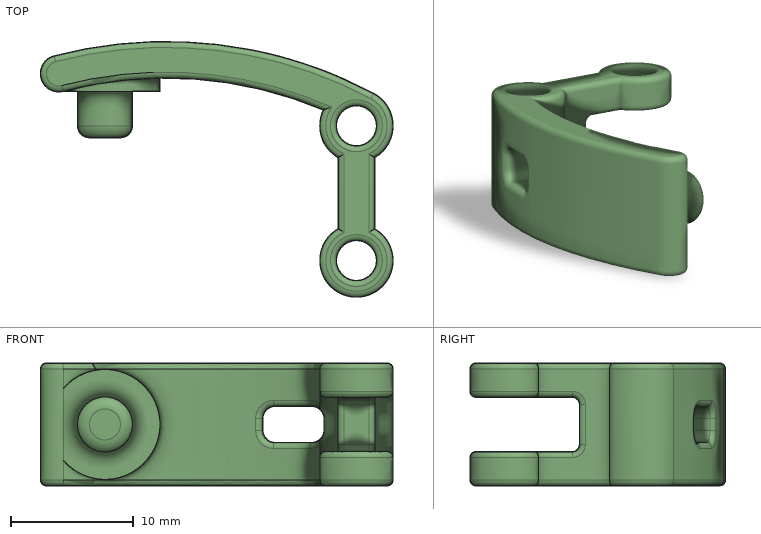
import cadquery as cq
import math

height = 10.0
edge_round = 0.5
overlap = 0.3
tolerance = 0.003

eye_radius = 3.0
bore_diameter = 3.25
eye_spacing = 11.0
ear_thickness = 2.8

link_width = 3.0
notch_start = 5.05
notch_corner = 0.58

arm_thickness = 3.0
arm_outer_radius = 35.95
arm_center_x = -15.55
tip_x = -24.28

slot_left = -7.62
slot_right = -2.65
slot_height = 2.93
slot_corner = 0.98

pin_x = -20.5
pin_diameter = 4.5
pin_end_y = -0.98
pin_round = 0.98
pad_diameter = 8.98

half_thickness = arm_thickness / 2
arm_inner_radius = arm_outer_radius - arm_thickness
arm_mid_radius = arm_outer_radius - half_thickness
arm_center_y = -math.sqrt((arm_outer_radius - eye_radius) ** 2 - arm_center_x**2)
barrel_angle = math.atan2(-arm_center_y, -arm_center_x)
tip_angle = math.acos((tip_x - arm_center_x) / arm_mid_radius)
middle_angle = (barrel_angle + tip_angle) / 2
tip_y = arm_center_y + arm_mid_radius * math.sin(tip_angle)


def arm_point(radius, angle):
    """Point at a polar position about the arm's arc centre."""
    return (arm_center_x + radius * math.cos(angle), arm_center_y + radius * math.sin(angle))


pad_left_x, pad_face_y = arm_point(arm_inner_radius, tip_angle)


def eye(y, bottom, thickness):
    """Solid round eye with rounded rims."""
    disc = cq.Workplane("XY", origin=(0, y, bottom)).circle(eye_radius).extrude(thickness)
    return disc.edges("%CIRCLE").fillet(edge_round)


def slot_cutter(bottom_y, top_y):
    """Rounded rectangular prism running along Y."""
    return (
        cq.Workplane("XY")
        .box(slot_right - slot_left, top_y - bottom_y, slot_height)
        .edges("|Y")
        .fillet(slot_corner)
        .translate(((slot_left + slot_right) / 2, (bottom_y + top_y) / 2, 0))
    )


def on_rim(edge):
    """True for curved arm edges on the top or bottom face."""
    center = edge.Center()
    return abs(abs(center.z) - height / 2) < tolerance and edge.geomType() != "LINE"


def on_slot_mouth(edge):
    """True for the edges where the slot leaves the curved arm faces."""
    middle = edge.positionAt(0.5)
    radius = math.hypot(middle.x - arm_center_x, middle.y - arm_center_y)
    on_face = min(abs(radius - arm_inner_radius), abs(radius - arm_outer_radius)) < tolerance
    box = edge.BoundingBox()
    in_slot_height = box.zmax - box.zmin < slot_height + tolerance
    return on_face and in_slot_height and slot_left - tolerance < middle.x < slot_right + tolerance


def make_arm():
    tip_end = (
        tip_x - half_thickness * math.sin(tip_angle),
        tip_y + half_thickness * math.cos(tip_angle),
    )
    arm = (
        cq.Workplane("XY", origin=(0, 0, -height / 2))
        .moveTo(*arm_point(arm_outer_radius, barrel_angle))
        .threePointArc(arm_point(arm_outer_radius, middle_angle), arm_point(arm_outer_radius, tip_angle))
        .threePointArc(tip_end, arm_point(arm_inner_radius, tip_angle))
        .threePointArc(arm_point(arm_inner_radius, middle_angle), arm_point(arm_inner_radius, barrel_angle))
        .close()
        .extrude(height)
    )
    rims = [edge for edge in arm.edges().vals() if on_rim(edge)]
    arm = arm.newObject(rims).fillet(edge_round)
    arm = arm.cut(slot_cutter(-eye_radius, arm_outer_radius + arm_center_y + overlap))
    mouths = [edge for edge in arm.edges().vals() if on_slot_mouth(edge)]
    return arm.newObject(mouths).fillet(edge_round)


def make_link():
    """Flat bar, notched between the ears, with its edges along the side faces rounded."""
    notch_height = height - 2 * ear_thickness
    notch_length = eye_spacing + overlap - notch_start
    bar = cq.Workplane("XY").box(link_width, eye_spacing, height).translate((0, -eye_spacing / 2, 0))
    notch = (
        cq.Workplane("XY")
        .box(link_width + overlap, notch_length, notch_height)
        .edges("|X and >Y")
        .fillet(notch_corner)
        .translate((0, -notch_start - notch_length / 2, 0))
    )
    bar = bar.cut(notch)
    side_edges = bar.faces("<X or >X").edges("not |Z").vals()
    notch_base = cq.selectors.BoxSelector(
        (-link_width, -notch_start - overlap, -height),
        (link_width, -notch_start + overlap, height),
    )
    base_edges = bar.faces("<X or >X").edges("|Z").edges(notch_base).vals()
    return bar.newObject(side_edges + base_edges).fillet(edge_round)


def make_pin():
    """Pin and pad; the pad stops at the rounded arm tip and is buried in the arm behind."""
    pad_depth = half_thickness
    pad_plane = cq.Workplane("XZ", origin=(pin_x, pad_face_y + pad_depth, 0))
    pad = pad_plane.circle(pad_diameter / 2).extrude(pad_depth)
    keep = cq.Workplane("XY").box(pad_diameter, height, height)
    pad = pad.intersect(keep.translate((pad_left_x + pad_diameter / 2, pad_face_y, 0)))
    pin = (
        cq.Workplane("XZ", origin=(pin_x, pad_face_y, 0))
        .circle(pin_diameter / 2)
        .extrude(pad_face_y - pin_end_y)
        .faces("<Y")
        .edges()
        .fillet(pin_round)
    )
    return pad.union(pin)


def cut_bores(body):
    """Bore all eyes and round the bore mouths."""
    bores = (
        cq.Workplane("XY", origin=(0, 0, -height / 2))
        .pushPoints([(0, 0), (0, -eye_spacing)])
        .circle(bore_diameter / 2)
        .extrude(height)
    )
    body = body.cut(bores)
    mouths = [
        edge
        for edge in body.edges("%CIRCLE").vals()
        if abs(edge.radius() - bore_diameter / 2) < tolerance
    ]
    return body.newObject(mouths).fillet(edge_round)


barrel = eye(0, -height / 2, height)
result = make_arm().union(barrel).union(make_link())
result = result.cut(slot_cutter(-eye_radius, eye_radius))
for ear_bottom in (-height / 2, height / 2 - ear_thickness):
    result = result.union(eye(-eye_spacing, ear_bottom, ear_thickness))
result = cut_bores(result.union(make_pin()))